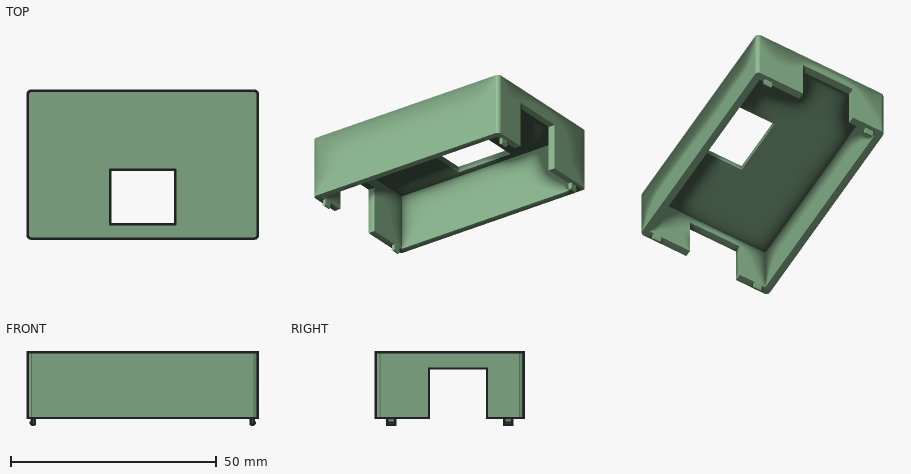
import cadquery as cq

length = 56.0
width = 36.0
body_height = 16.0
corner_radius = 1.0
wall = 1.78
roof = 1.5

window_length = 15.7
window_width = 13.18
window_center_y = -7.85

notch_width = 14.0
notch_height = 12.0
notch_center_y = 2.0

clip_width = 2.0
clip_drop = 1.72
clip_center_y = 14.2
clip_outer_inset = 1.0
clip_inner_inset = wall
barb_inset = 0.7
barb_drop = 1.1
tip_inset = 1.27
tip_corner = 0.3


def make_shell():
    """Open-bottomed box with rounded outer vertical corners."""
    outer = cq.Workplane("XY").box(length, width, body_height, centered=(True, True, False))
    outer = outer.edges("|Z").fillet(corner_radius)
    cavity = cq.Workplane("XY").box(
        length - 2 * wall, width - 2 * wall, body_height - roof, centered=(True, True, False)
    )
    return outer.cut(cavity)


def make_window():
    """Rectangular cutter through the roof."""
    return (
        cq.Workplane("XY")
        .center(0, window_center_y)
        .rect(window_length, window_width)
        .extrude(body_height)
    )


def make_notch():
    """Rectangular cutter through both end walls."""
    return (
        cq.Workplane("XY")
        .center(0, notch_center_y)
        .rect(length, notch_width)
        .extrude(notch_height)
    )


def make_clip(center_y):
    """Snap clip on the -X wall with an outward barb that tapers to the tip."""
    end_x = -length / 2
    outer_x = end_x + clip_outer_inset
    inner_x = end_x + clip_inner_inset
    return (
        cq.Workplane("XZ", origin=(0, center_y, 0))
        .moveTo(outer_x, 0)
        .lineTo(outer_x, -barb_drop)
        .lineTo(end_x + barb_inset, -barb_drop)
        .lineTo(end_x + tip_inset, -clip_drop)
        .lineTo(inner_x - tip_corner, -clip_drop)
        .lineTo(inner_x, -clip_drop + tip_corner)
        .lineTo(inner_x, 0)
        .close()
        .extrude(clip_width / 2, both=True)
    )


result = make_shell().cut(make_window()).cut(make_notch())
for side_y in (-clip_center_y, clip_center_y):
    clip = make_clip(side_y)
    result = result.union(clip).union(clip.mirror("YZ"))